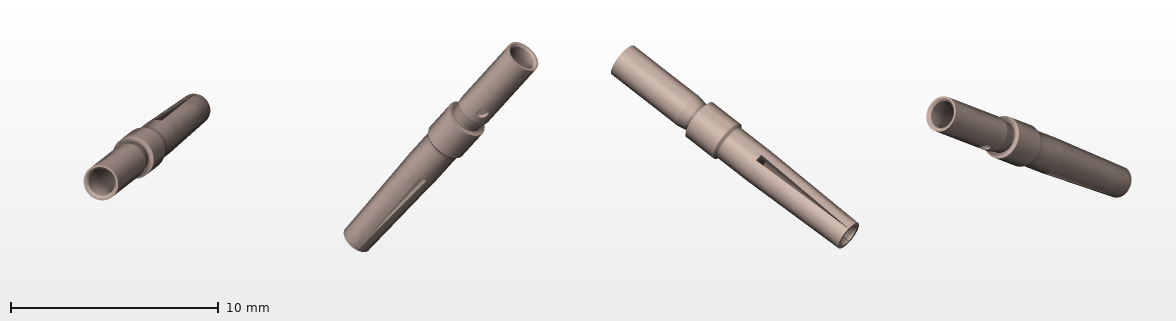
import cadquery as cq
import math

length = 14.4

barrel_dia = 1.75
neck_dia = 1.55
collar_dia = 2.1
sleeve_dia = 1.83
tip_dia = 1.54

barrel_end = 4.19
neck_start = 4.75
collar_start = 4.9
collar_end = 6.8
finger_start = 8.67
collar_chamfer = (collar_dia - sleeve_dia) / 2

wire_bore_dia = 1.35
wire_mouth_dia = 1.55
mouth_depth = (wire_mouth_dia - wire_bore_dia) / 2
wire_bore_depth = barrel_end
drill_point_angle = 118.0
inspection_hole_dia = 0.6
inspection_hole_y = 3.51

socket_dia = 1.15
slot_base_width = 0.39
slot_tip_width = 0.01


def revolve_about_y(points):
    """Revolve a closed (radius, Y) outline about the Y axis."""
    return cq.Workplane("XY").polyline(points).close().revolve(360, (0, 0), (0, 1))


def make_body():
    return revolve_about_y([
        (0, 0),
        (barrel_dia / 2, 0),
        (barrel_dia / 2, barrel_end),
        (neck_dia / 2, neck_start),
        (neck_dia / 2, collar_start),
        (collar_dia / 2, collar_start),
        (collar_dia / 2, collar_end - collar_chamfer),
        (sleeve_dia / 2, collar_end),
        (sleeve_dia / 2, finger_start),
        (tip_dia / 2, length),
        (0, length),
    ])


def make_wire_bore():
    bore_radius = wire_bore_dia / 2
    point_depth = bore_radius / math.tan(math.radians(drill_point_angle / 2))
    return revolve_about_y([
        (0, 0),
        (wire_mouth_dia / 2, 0),
        (bore_radius, mouth_depth),
        (bore_radius, wire_bore_depth),
        (0, wire_bore_depth + point_depth),
    ])


def make_inspection_hole():
    """Round hole through the -Z wall of the barrel into the wire bore."""
    return (
        cq.Workplane("XY")
        .center(0, inspection_hole_y)
        .circle(inspection_hole_dia / 2)
        .extrude(-barrel_dia)
    )


def make_socket():
    return revolve_about_y([
        (0, finger_start),
        (socket_dia / 2, finger_start),
        (socket_dia / 2, length),
        (0, length),
    ])


def make_finger_slot():
    """Slot through both walls along Z, narrowing toward the tip."""
    outline = [
        (-slot_base_width / 2, finger_start),
        (slot_base_width / 2, finger_start),
        (slot_tip_width / 2, length),
        (-slot_tip_width / 2, length),
    ]
    return cq.Workplane("XY").polyline(outline).close().extrude(sleeve_dia, both=True)


result = (
    make_body()
    .cut(make_wire_bore())
    .cut(make_inspection_hole())
    .cut(make_socket())
    .cut(make_finger_slot())
)